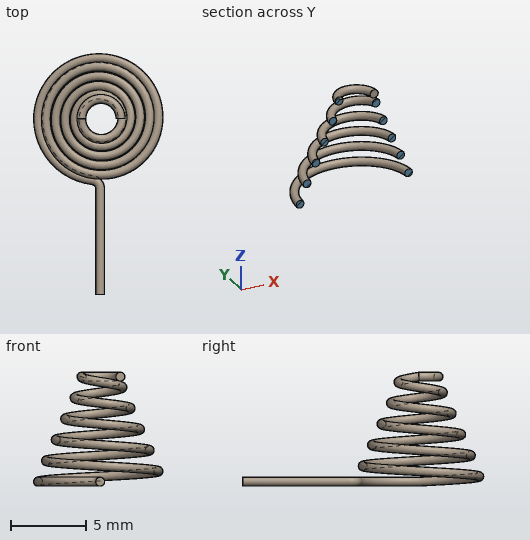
import cadquery as cq
import math

wire_radius = 0.3
pitch = 1.4
turn_radii = [4.15, 3.62, 2.97, 2.34, 1.71, 1.25]
base_radius = turn_radii[0]
coil_end_radius = turn_radii[-1]
turn_count = len(turn_radii) - 1
coil_height = turn_count * pitch
points_per_turn = 36

ring_radius = 1.3

bend_radius = 0.585
leg_length = 7.05

bend_center_y = -math.sqrt((base_radius + bend_radius) ** 2 - bend_radius**2)
bend_start_angle = math.atan2(-bend_center_y, bend_radius)


def coil_radius(turns):
    """Centreline radius, changing linearly within each turn."""
    turn = min(int(turns), turn_count - 1)
    part_of_turn = turns - turn
    return turn_radii[turn] + part_of_turn * (turn_radii[turn + 1] - turn_radii[turn])


def coil_point(turns):
    """Point on the left-handed coil, which starts on the -X side of the base."""
    radius = coil_radius(turns)
    angle = math.pi - 2 * math.pi * turns
    return (radius * math.cos(angle), radius * math.sin(angle), pitch * turns)


def wire_section(radius, height):
    """Round wire section where the wire crosses the -X side of the coil."""
    plane = cq.Plane(origin=(-radius, 0, height), xDir=(1, 0, 0), normal=(0, 1, 0))
    return cq.Workplane(plane).circle(wire_radius)


def make_coil():
    step_count = turn_count * points_per_turn
    points = [coil_point(step / points_per_turn) for step in range(step_count + 1)]
    path = cq.Workplane().spline(points)
    return wire_section(base_radius, 0).sweep(path, isFrenet=True)


def make_top_half_ring():
    """Flat half turn that closes the top of the coil, from -X through +Y to +X."""
    ring_center_x = ring_radius - coil_end_radius
    path = (
        cq.Workplane(origin=(0, 0, coil_height))
        .moveTo(-coil_end_radius, 0)
        .threePointArc((ring_center_x, ring_radius), (ring_center_x + ring_radius, 0))
    )
    return wire_section(coil_end_radius, coil_height).sweep(path)


def polar(center, radius, angle):
    """Point at the given distance and direction from a centre."""
    return (center[0] + radius * math.cos(angle), center[1] + radius * math.sin(angle))


def make_base_tail():
    """Flat quarter turn at the base, the bend and the straight leg."""
    axis = (0, 0)
    bend_center = (-bend_radius, bend_center_y)
    arc_end_angle = math.pi + bend_start_angle
    arc_mid_angle = (math.pi + arc_end_angle) / 2
    path = (
        cq.Workplane()
        .moveTo(-base_radius, 0)
        .threePointArc(polar(axis, base_radius, arc_mid_angle), polar(axis, base_radius, arc_end_angle))
        .threePointArc(polar(bend_center, bend_radius, bend_start_angle / 2), (0, bend_center_y))
        .lineTo(0, bend_center_y - leg_length)
    )
    return wire_section(base_radius, 0).sweep(path)


result = make_coil().union(make_top_half_ring()).union(make_base_tail())